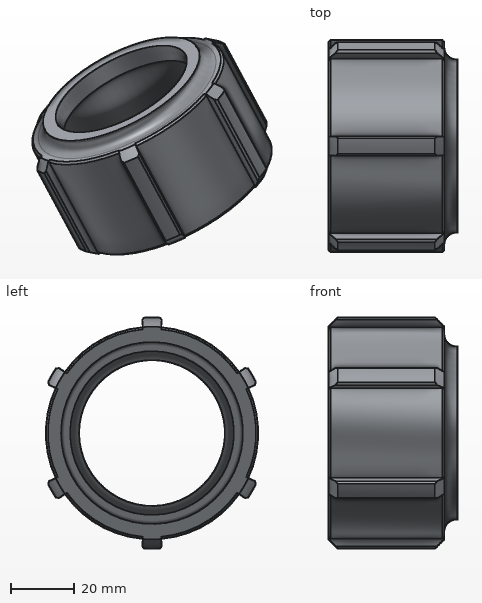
import cadquery as cq
import math

body_length = 36.8
neck_length = 4.2
neck_fillet = 3.7
entry_depth = 3.4
lip_thickness = 6.0
total_length = body_length + neck_length

body_radius = 33.7
neck_radius = 55.05 / 2
entry_radius = 57.7 / 2
bore_radius = 51.93 / 2
lip_radius = 46.16 / 2
body_chamfer = 0.7

rib_count = 6
rib_height = 3.0
rib_angle = 10.0
rib_edge_chamfer = 0.7
rib_root_depth = 2.0
rib_outer_radius = body_radius + rib_height
rib_root_radius = body_radius - rib_root_depth

AXIS_START = (0, 0, 0)
AXIS_END = (1, 0, 0)


def make_body():
    """Chamfered sleeve with a neck that blends into the far end face."""
    fillet_end = body_length + neck_fillet
    fillet_center_radius = neck_radius + neck_fillet
    fillet_offset = neck_fillet * math.sqrt(0.5)
    fillet_middle = (fillet_end - fillet_offset, fillet_center_radius - fillet_offset)
    profile = (
        cq.Workplane("XZ")
        .moveTo(0, 0)
        .lineTo(0, body_radius - body_chamfer)
        .lineTo(body_chamfer, body_radius)
        .lineTo(body_length - body_chamfer, body_radius)
        .lineTo(body_length, body_radius - body_chamfer)
        .lineTo(body_length, fillet_center_radius)
        .threePointArc(fillet_middle, (fillet_end, neck_radius))
        .lineTo(total_length, neck_radius)
        .lineTo(total_length, 0)
        .close()
    )
    return profile.revolve(360, AXIS_START, AXIS_END)


def make_rib():
    """Rib centred on +Z, with 45 degree ends and chamfered long edges."""
    profile = (
        cq.Workplane("XZ")
        .moveTo(0, rib_root_radius)
        .lineTo(0, body_radius)
        .lineTo(rib_height, rib_outer_radius)
        .lineTo(body_length - rib_height, rib_outer_radius)
        .lineTo(body_length, body_radius)
        .lineTo(body_length, rib_root_radius)
        .close()
    )
    wedge = profile.revolve(rib_angle, AXIS_START, AXIS_END)
    center = wedge.val().Center()
    turn = math.degrees(math.atan2(center.y, center.z))
    rib = wedge.rotate(AXIS_START, AXIS_END, turn)
    long_edges = rib.edges("|X").edges(">Z")
    return long_edges.chamfer(rib_edge_chamfer)


def make_bore():
    """Stepped opening, largest at the X = 0 end and smallest through the lip."""
    lip_hole = cq.Workplane("YZ").circle(lip_radius).extrude(total_length)
    main_bore = cq.Workplane("YZ").circle(bore_radius).extrude(total_length - lip_thickness)
    entry = cq.Workplane("YZ").circle(entry_radius).extrude(entry_depth)
    return lip_hole.union(main_bore).union(entry)


result = make_body()
rib = make_rib()
for index in range(rib_count):
    result = result.union(rib.rotate(AXIS_START, AXIS_END, index * 360 / rib_count))
result = result.cut(make_bore())